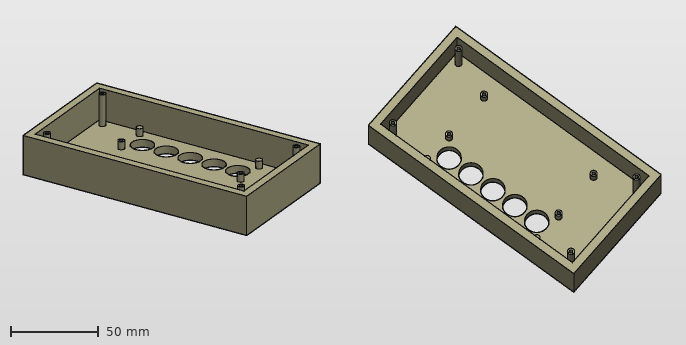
import cadquery as cq

length = 150.0
width = 80.0
height = 25.0
wall = 5.0
floor = 5.0

window_diameter = 14.0
window_pitch = 16.0
window_count = 5
window_y = 20.0

post_diameter = 4.0
screw_hole_diameter = 2.0
corner_post_inset = 10.0
corner_post_height = height - floor
board_post_height = 5.0
board_post_x = 40.0
board_pin_y = 30.0
board_screw_ys = (10.0, -22.0)

corner_post_x = length / 2 - corner_post_inset
corner_post_y = width / 2 - corner_post_inset

window_points = [
    ((index - (window_count - 1) / 2) * window_pitch, window_y)
    for index in range(window_count)
]
corner_points = [
    (x, y)
    for x in (-corner_post_x, corner_post_x)
    for y in (-corner_post_y, corner_post_y)
]
board_screw_points = [(x, y) for x in (-board_post_x, board_post_x) for y in board_screw_ys]
board_pin_points = [(-board_post_x, board_pin_y), (board_post_x, board_pin_y)]


def floor_cylinders(points, diameter, cylinder_height):
    """Upright cylinders rising from the top of the floor."""
    return (
        cq.Workplane("XY", origin=(0, 0, floor))
        .pushPoints(points)
        .circle(diameter / 2)
        .extrude(cylinder_height)
    )


def make_tray():
    """Rectangular tray with plain walls and an open top."""
    block = cq.Workplane("XY").box(length, width, height, centered=(True, True, False))
    cavity = (
        cq.Workplane("XY", origin=(0, 0, floor))
        .rect(length - 2 * wall, width - 2 * wall)
        .extrude(height - floor)
    )
    return block.cut(cavity)


def make_windows():
    """Cutters for the round windows, as deep as the floor."""
    return cq.Workplane("XY").pushPoints(window_points).circle(window_diameter / 2).extrude(floor)


def make_screw_posts(points, post_height):
    """Posts with a screw hole running down to the floor."""
    posts = floor_cylinders(points, post_diameter, post_height)
    return posts.cut(floor_cylinders(points, screw_hole_diameter, post_height))


result = (
    make_tray()
    .cut(make_windows())
    .union(make_screw_posts(corner_points, corner_post_height))
    .union(make_screw_posts(board_screw_points, board_post_height))
    .union(floor_cylinders(board_pin_points, post_diameter, board_post_height))
)